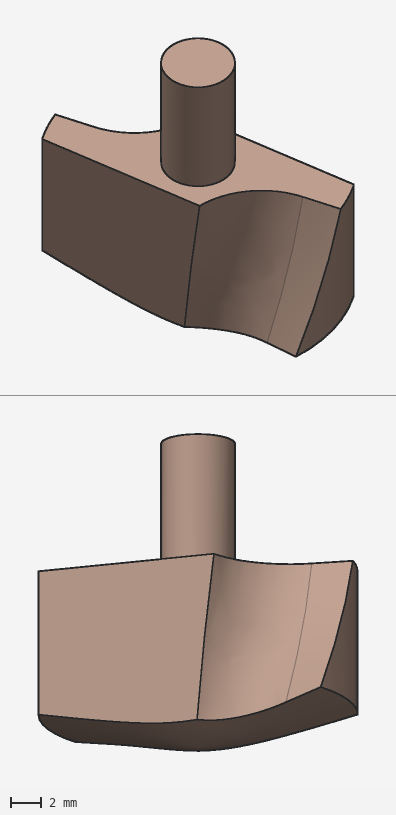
import cadquery as cq
import math

body_radius = 10.35
body_thickness = 7.16
rim_height = 9.65
shank_diameter = 4.8
overall_height = 20.4
tip_angle = 12.0
twist_per_unit = 2.657

face_angle = 6.8
face_inner_x = 7.55
face_inner_y = 0.77
flute_radius = 6.1
flute_end_angle = 170.0
flute_reach = 13.45

body_height = rim_height + body_radius * math.tan(math.radians(tip_angle))
shank_length = overall_height - body_height


def make_body():
    """Flat slab cut from a round blank with a conical point."""
    blank = (
        cq.Workplane("XZ")
        .polyline([(0, 0), (body_radius, 0), (body_radius, -rim_height), (0, -body_height)])
        .close()
        .revolve(360, (0, 0), (0, 1))
    )
    slab = cq.Workplane("XY").box(
        2 * body_radius, body_thickness, body_height, centered=(True, True, False)
    ).translate((0, 0, -body_height))
    return blank.intersect(slab)


def make_flute():
    """Straight face with a tangent concave arc, twisted along the drill axis."""
    slope = math.radians(face_angle)
    center_x = face_inner_x + flute_radius * math.sin(slope)
    center_y = face_inner_y - flute_radius * math.cos(slope)

    def arc_point(degrees):
        angle = math.radians(degrees)
        return (center_x + flute_radius * math.cos(angle), center_y + flute_radius * math.sin(angle))

    start_angle = 90 + face_angle
    end_point = arc_point(flute_end_angle)
    face_outer_y = face_inner_y + (flute_reach - face_inner_x) * math.tan(slope)
    twist = twist_per_unit * body_height
    return (
        cq.Workplane("XY")
        .moveTo(flute_reach, face_outer_y)
        .lineTo(face_inner_x, face_inner_y)
        .threePointArc(arc_point((start_angle + flute_end_angle) / 2), end_point)
        .lineTo(end_point[0], -flute_reach)
        .lineTo(flute_reach, -flute_reach)
        .close()
        .twistExtrude(body_height, twist)
        .rotate((0, 0, 0), (0, 0, 1), -twist)
        .translate((0, 0, -body_height))
    )


def make_shank():
    return cq.Workplane("XY").circle(shank_diameter / 2).extrude(shank_length)


flute = make_flute()
opposite_flute = flute.rotate((0, 0, 0), (0, 0, 1), 180)
result = make_body().cut(flute).cut(opposite_flute).union(make_shank())